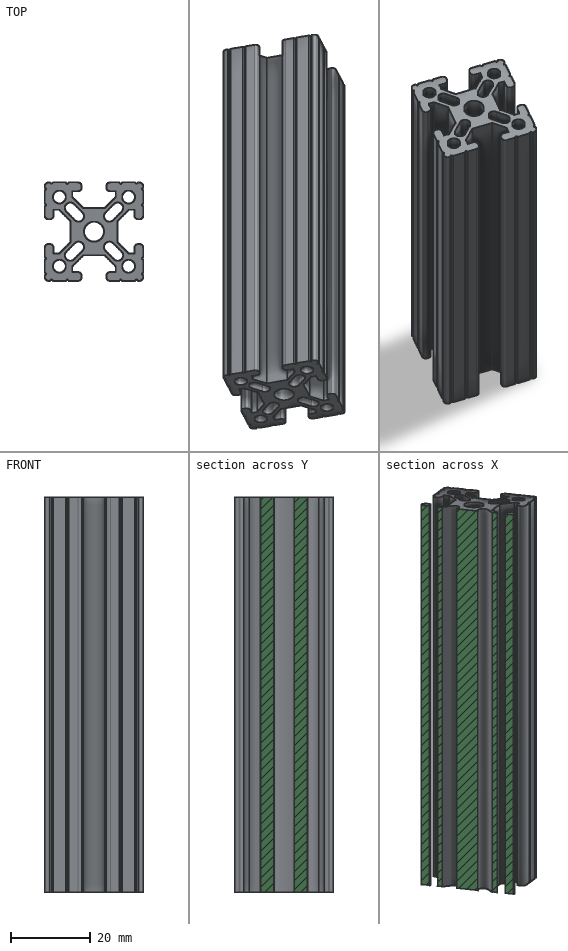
import cadquery as cq
import math

profile_size = 25.0
length = 100.0
half_size = profile_size / 2

opening_half_width = 3.1
lip_thickness = 2.3
lip_radius = 1.0
cavity_half_width = 5.5
core_half_size = 6.0
core_flat_half_width = 2.7

center_bore_diameter = 5.0
corner_bore_diameter = 3.2
corner_bore_spacing = 17.5
corner_bore_offset = corner_bore_spacing / 2

window_width = 2.7
window_inner_center = 3.9
window_outer_center = 6.0

groove_depth = 0.4
groove_spacing = 4.0

outer_corner_radius = 1.1
side_angles = [0, 90, 180, 270]


def around_axis(cutter):
    """Return four copies of a cutter, one for each quarter turn about Z."""
    return [cutter.rotate((0, 0, 0), (0, 0, 1), angle) for angle in side_angles]


def make_blank():
    """Square bar with rounded long edges."""
    bar = cq.Workplane("XY").rect(profile_size, profile_size).extrude(length)
    return bar.edges("|Z").fillet(outer_corner_radius)


def make_t_slot():
    """Cutter for the T-slot on the +Y side; its cavity narrows at 45 degrees to the core."""
    cavity_top = half_size - lip_thickness
    taper_top = core_half_size + cavity_half_width - core_flat_half_width
    rounding_x = opening_half_width + lip_radius
    right_half = (
        cq.Workplane("XY")
        .moveTo(0, core_half_size)
        .lineTo(core_flat_half_width, core_half_size)
        .lineTo(cavity_half_width, taper_top)
        .lineTo(cavity_half_width, cavity_top)
        .lineTo(rounding_x, cavity_top)
        .radiusArc((opening_half_width, cavity_top + lip_radius), lip_radius)
        .lineTo(opening_half_width, half_size - lip_radius)
        .radiusArc((rounding_x, half_size), lip_radius)
        .lineTo(0, half_size)
        .close()
        .extrude(length)
    )
    return right_half.union(right_half.mirror("YZ")).clean()


def make_web_window():
    """Cutter for the rounded window in the diagonal web of the +X +Y corner."""
    center = (window_inner_center + window_outer_center) / 2
    straight = (window_outer_center - window_inner_center) * math.sqrt(2)
    return (
        cq.Workplane("XY")
        .center(center, center)
        .slot2D(straight + window_width, window_width, 45)
        .extrude(length)
    )


def make_face_grooves():
    """Cutter for the four grooves in the +Y face."""
    inner_x = corner_bore_offset - groove_spacing / 2
    outer_x = corner_bore_offset + groove_spacing / 2
    places = [(x, half_size) for x in (-outer_x, -inner_x, inner_x, outer_x)]
    square_side = groove_depth * math.sqrt(2)
    outline = cq.Sketch().push(places).rect(square_side, square_side, angle=45)
    return cq.Workplane("XY").placeSketch(outline).extrude(length)


def make_corner_bore():
    """Cutter for the bore in the +X +Y corner."""
    return (
        cq.Workplane("XY")
        .center(corner_bore_offset, corner_bore_offset)
        .circle(corner_bore_diameter / 2)
        .extrude(length)
    )


def make_center_bore():
    """Cutter for the bore on the Z axis."""
    return cq.Workplane("XY").circle(center_bore_diameter / 2).extrude(length)


result = make_blank().cut(make_center_bore())
for make_cutter in (make_t_slot, make_web_window, make_face_grooves, make_corner_bore):
    for cutter in around_axis(make_cutter()):
        result = result.cut(cutter)